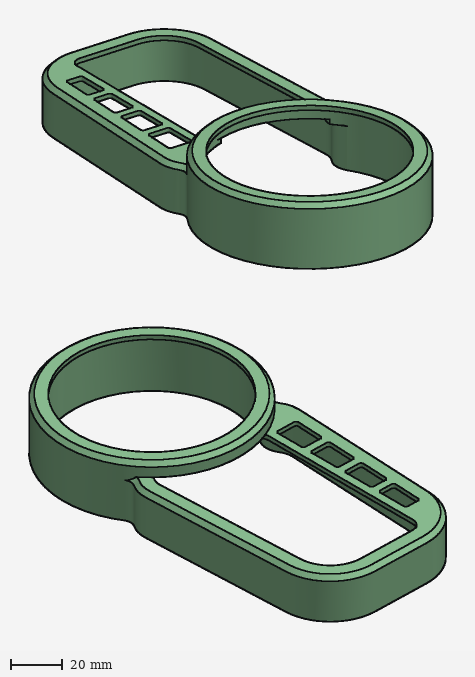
import cadquery as cq
import math

RING_RADIUS = 47.5
RING_HEIGHT = 27.8
RING_LIP_RADIUS = 40.0

LENGTH = 185.5
FRAME_HEIGHT = 21.0
TAPER = math.radians(2.7)
CORNER_RADIUS = 25.0
CORNER_CENTRE_Y = 13.7
SHOULDER_X = -40.0
SHOULDER_RADIUS = 15.0
NECK_RADIUS = 5.0
NECK_OVERLAP = 0.02

WALL = 5.0
LIP_THICKNESS = 2.0
FRAME_LIP_WIDTH = 8.0
CHAMFER = 2.0

DISPLAY_BOTTOM_Y = -19.1
DISPLAY_FILLET = 5.0

BUTTON_COUNT = 4
BUTTON_WIDTH = 15.2
BUTTON_PITCH = 19.0
BUTTON_FIRST_OFFSET = 21.0
BUTTON_TOP_Y = -23.0
BUTTON_FILLET = 1.1

BORE_RADIUS = RING_RADIUS - WALL
CAVITY_HEIGHT = FRAME_HEIGHT - LIP_THICKNESS
LEFT_X = RING_RADIUS - LENGTH
ORIGIN = (0, 0)
CORNER_CENTRE = (LEFT_X + CORNER_RADIUS, CORNER_CENTRE_Y)
NORMAL = math.pi / 2 + TAPER


def polar(centre, radius, angle):
    return (centre[0] + radius * math.cos(angle), centre[1] + radius * math.sin(angle))


def direction(start, end):
    return math.atan2(end[1] - start[1], end[0] - start[0])


def mirrored(point):
    return (point[0], -point[1])


def neck_centre_beside(shoulder_centre):
    """Centre of the concave arc that touches the shoulder arc and just enters the ring."""
    to_shoulder = SHOULDER_RADIUS + NECK_RADIUS
    to_ring = RING_RADIUS - NECK_OVERLAP + NECK_RADIUS
    span = math.hypot(*shoulder_centre)
    angle_off = math.acos((to_ring**2 + span**2 - to_shoulder**2) / (2 * to_ring * span))
    return polar(ORIGIN, to_ring, direction(ORIGIN, shoulder_centre) - angle_off)


def side_y(x, inset=0.0):
    """Y of the tapered +Y side at x, moved inwards by inset."""
    rise = (x - CORNER_CENTRE[0]) * math.tan(TAPER)
    return CORNER_CENTRE_Y + rise + (CORNER_RADIUS - inset) / math.cos(TAPER)


SHOULDER_CENTRE = polar((SHOULDER_X, side_y(SHOULDER_X)), -SHOULDER_RADIUS, NORMAL)
NECK_CENTRE = neck_centre_beside(SHOULDER_CENTRE)


def frame_prism(inset, height):
    """Frame outline moved inwards by inset, closed at the ring's centre and extruded."""
    corner_radius = CORNER_RADIUS - inset
    shoulder_radius = SHOULDER_RADIUS - inset
    neck_radius = NECK_RADIUS + inset
    shoulder_to_neck = direction(SHOULDER_CENTRE, NECK_CENTRE)
    neck_to_shoulder = shoulder_to_neck - math.pi
    neck_to_ring = direction(NECK_CENTRE, ORIGIN)

    corner_start = polar(CORNER_CENTRE, corner_radius, math.pi)
    corner_middle = polar(CORNER_CENTRE, corner_radius, (math.pi + NORMAL) / 2)
    corner_end = polar(CORNER_CENTRE, corner_radius, NORMAL)
    shoulder_start = polar(SHOULDER_CENTRE, shoulder_radius, NORMAL)
    shoulder_middle = polar(SHOULDER_CENTRE, shoulder_radius, (NORMAL + shoulder_to_neck) / 2)
    shoulder_end = polar(SHOULDER_CENTRE, shoulder_radius, shoulder_to_neck)
    neck_middle = polar(NECK_CENTRE, neck_radius, (neck_to_shoulder + neck_to_ring) / 2)
    neck_end = polar(NECK_CENTRE, neck_radius, neck_to_ring)

    return (
        cq.Workplane("XY")
        .moveTo(*corner_start)
        .threePointArc(corner_middle, corner_end)
        .lineTo(*shoulder_start)
        .threePointArc(shoulder_middle, shoulder_end)
        .threePointArc(neck_middle, neck_end)
        .lineTo(*ORIGIN)
        .lineTo(*mirrored(neck_end))
        .threePointArc(mirrored(neck_middle), mirrored(shoulder_end))
        .threePointArc(mirrored(shoulder_middle), mirrored(shoulder_start))
        .lineTo(*mirrored(corner_end))
        .threePointArc(mirrored(corner_middle), mirrored(corner_start))
        .close()
        .extrude(height)
    )


def cylinder(radius, height):
    return cq.Workplane("XY").circle(radius).extrude(height)


def display_opening():
    """Opening in the frame's top plate, ending in the ring's bore."""
    inside = frame_prism(FRAME_LIP_WIDTH, FRAME_HEIGHT)
    depth = RING_RADIUS - DISPLAY_BOTTOM_Y
    above_buttons = cq.Workplane("XY").box(-LEFT_X, depth, FRAME_HEIGHT, centered=False)
    above_buttons = above_buttons.translate((LEFT_X, DISPLAY_BOTTOM_Y, 0))
    opening = inside.intersect(above_buttons).cut(cylinder(BORE_RADIUS, FRAME_HEIGHT))
    return opening.faces("<Y").edges("|Z").fillet(DISPLAY_FILLET)


def button_opening(left):
    """Button opening starting at x = left, its lower edge parallel to the tapered -Y side."""
    right = left + BUTTON_WIDTH
    return (
        cq.Workplane("XY")
        .moveTo(left, BUTTON_TOP_Y)
        .lineTo(right, BUTTON_TOP_Y)
        .lineTo(right, -side_y(right, FRAME_LIP_WIDTH))
        .lineTo(left, -side_y(left, FRAME_LIP_WIDTH))
        .close()
        .extrude(FRAME_HEIGHT)
        .edges("|Z")
        .fillet(BUTTON_FILLET)
    )


frame = frame_prism(0, FRAME_HEIGHT).faces(">Z").edges().chamfer(CHAMFER)
ring = cylinder(RING_RADIUS, RING_HEIGHT).faces(">Z").edges().chamfer(CHAMFER)

result = frame.union(ring)

result = result.cut(frame_prism(WALL, CAVITY_HEIGHT))
result = result.cut(display_opening())
result = result.cut(cylinder(BORE_RADIUS, RING_HEIGHT - LIP_THICKNESS))
result = result.cut(cylinder(RING_LIP_RADIUS, RING_HEIGHT))

for index in range(BUTTON_COUNT):
    result = result.cut(button_opening(LEFT_X + BUTTON_FIRST_OFFSET + index * BUTTON_PITCH))